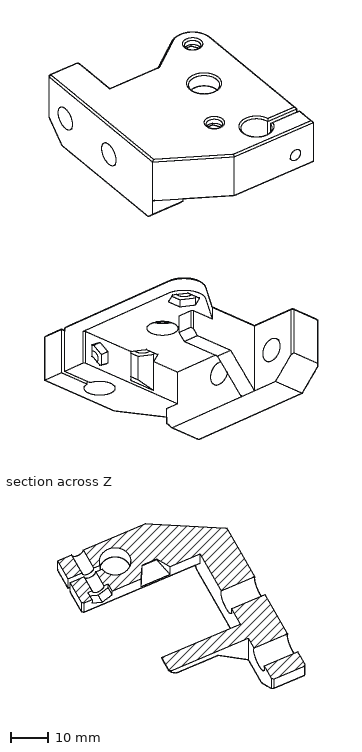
import cadquery as cq
import math

LENGTH = 59.0
DEPTH = 45.5
HEIGHT = 20.0
EDGE_BREAK = 0.55

PLATE_THICKNESS = 4.0
PLATE_BOTTOM = HEIGHT - PLATE_THICKNESS
WALL_X = 14.5
EAR_RADIUS = 5.9
EAR_X = 11.75
EAR_Y = DEPTH - EAR_RADIUS
EAR_ROOT_Y = 26.1
SLANT_END_Y = 19.1

FLANGE_DEPTH = 10.15
FLANGE_LENGTH = 48.0
FLANGE_LEFT_CHAMFER = 6.5
FLANGE_RIGHT_CHAMFER = 2.0
FLANGE_HOLE_DIAMETER = 6.6
FLANGE_HOLE_Z = HEIGHT / 2
FLANGE_HOLE_XS = (8.0, 27.95)

RIB_THICKNESS = 5.0
RIB_BOTTOM = 9.0
RIB_END_Y = 33.75
RIB_CORNER = 2.0

CLAMP_X = 43.9
CLAMP_BOTTOM = 6.5
SLOT_WIDTH = 1.2
CLAMP_SCREW_DIAMETER = 3.4
CLAMP_SCREW_Y = 39.5
CLAMP_SCREW_Z = 11.2
CLAMP_NUT_FLATS = 5.95
CLAMP_NUT_DEPTH = 2.5

BORE_DIAMETER = 8.4
BORE_Y = 31.6
BORE_XS = (27.95, 52.0)
SCREW_DIAMETER = 4.4
NUT_SCREW_Y = 23.5
NUT_FLATS = 7.5
NUT_ROOF_Z = HEIGHT - 1.9
NUT_FLOOR_Z = 7.3


def box(x0, x1, y0, y1, z0, z1):
    return cq.Workplane("XY").box(x1 - x0, y1 - y0, z1 - z0, centered=False).translate((x0, y0, z0))


def across_corners(flats):
    return flats / math.cos(math.pi / 6)


def top_outline():
    """Plate outline; the ear arc is tangent to the line from the ear root."""
    root_dx = WALL_X - EAR_X
    root_dy = EAR_ROOT_Y - EAR_Y
    root_angle = math.atan2(root_dy, root_dx)
    tangent_angle = root_angle - math.acos(EAR_RADIUS / math.hypot(root_dx, root_dy))
    middle_angle = (tangent_angle - 3 * math.pi / 2) / 2

    def ear_point(angle):
        return (EAR_X + EAR_RADIUS * math.cos(angle), EAR_Y + EAR_RADIUS * math.sin(angle))

    return (
        cq.Workplane("XY")
        .moveTo(0, 0)
        .lineTo(FLANGE_LENGTH, 0)
        .lineTo(LENGTH, SLANT_END_Y)
        .lineTo(LENGTH, DEPTH)
        .lineTo(EAR_X, DEPTH)
        .threePointArc(ear_point(middle_angle), ear_point(tangent_angle))
        .lineTo(WALL_X, EAR_ROOT_Y)
        .lineTo(WALL_X, FLANGE_DEPTH)
        .lineTo(0, FLANGE_DEPTH)
        .close()
    )


def top_plate():
    return top_outline().extrude(PLATE_THICKNESS).translate((0, 0, PLATE_BOTTOM))


def clamp_block():
    """Thick right end of the plate, following the plate outline."""
    full = top_outline().extrude(HEIGHT - CLAMP_BOTTOM).translate((0, 0, CLAMP_BOTTOM))
    block = full.intersect(box(CLAMP_X, LENGTH, 0, DEPTH, CLAMP_BOTTOM, HEIGHT))
    return block.edges("|Z and <X and >Y").chamfer(EDGE_BREAK)


def front_flange():
    flange = box(0, FLANGE_LENGTH, 0, FLANGE_DEPTH, 0, HEIGHT)
    flange = flange.edges("<X and |Z").chamfer(EDGE_BREAK)
    left_corner = (
        cq.Workplane("XZ")
        .polyline([(0, 0), (FLANGE_LEFT_CHAMFER, 0), (0, FLANGE_LEFT_CHAMFER)])
        .close()
        .extrude(-FLANGE_DEPTH)
    )
    return flange.cut(left_corner).edges(">X and <Z").chamfer(FLANGE_RIGHT_CHAMFER)


def side_rib():
    """Gusset running back from the flange under the left edge of the plate."""
    rib = (
        cq.Workplane("YZ")
        .moveTo(0, HEIGHT)
        .lineTo(0, 0)
        .lineTo(FLANGE_DEPTH, 0)
        .lineTo(FLANGE_DEPTH + RIB_BOTTOM, RIB_BOTTOM)
        .lineTo(RIB_END_Y - RIB_CORNER, RIB_BOTTOM)
        .lineTo(RIB_END_Y, RIB_BOTTOM + RIB_CORNER)
        .lineTo(RIB_END_Y, HEIGHT)
        .close()
        .extrude(RIB_THICKNESS)
        .translate((WALL_X, 0, 0))
    )
    return rib.edges("|Z and >Y and <X").chamfer(EDGE_BREAK)


def vertical_holes(centers, diameter):
    return cq.Workplane("XY").pushPoints(centers).circle(diameter / 2).extrude(HEIGHT)


def flange_holes():
    centers = [(x, FLANGE_HOLE_Z) for x in FLANGE_HOLE_XS]
    return cq.Workplane("XZ").pushPoints(centers).circle(FLANGE_HOLE_DIAMETER / 2).extrude(-DEPTH)


def clamp_slot():
    slot_left = BORE_XS[1] - SLOT_WIDTH / 2
    return box(slot_left, slot_left + SLOT_WIDTH, BORE_Y, DEPTH, 0, HEIGHT)


def clamp_screw():
    """Cross hole with a hexagonal nut pocket in the clamp's inner wall."""
    start = cq.Workplane("YZ", origin=(CLAMP_X, CLAMP_SCREW_Y, CLAMP_SCREW_Z))
    hole = start.circle(CLAMP_SCREW_DIAMETER / 2).extrude(LENGTH - CLAMP_X)
    pocket = (
        start.transformed(rotate=(0, 0, 90))
        .polygon(6, across_corners(CLAMP_NUT_FLATS))
        .extrude(CLAMP_NUT_DEPTH)
    )
    return hole.union(pocket)


def hex_pocket(x, y, bottom):
    """Upright hexagonal nut pocket with two flats facing along X."""
    return (
        cq.Workplane("XY", origin=(x, y, bottom))
        .transformed(rotate=(0, 0, 90))
        .polygon(6, across_corners(NUT_FLATS))
        .extrude(NUT_ROOF_Z - bottom)
    )


def clamp_side_nut_pocket():
    """Pocket half inside the clamp's inner wall, with a floor rising at 45 degrees."""
    reach = NUT_FLATS / 2
    above_floor = (
        cq.Workplane("XZ")
        .moveTo(CLAMP_X - reach, NUT_FLOOR_Z)
        .lineTo(CLAMP_X, NUT_FLOOR_Z)
        .lineTo(CLAMP_X + reach, NUT_FLOOR_Z + reach)
        .lineTo(CLAMP_X + reach, NUT_ROOF_Z)
        .lineTo(CLAMP_X - reach, NUT_ROOF_Z)
        .close()
        .extrude(-DEPTH)
    )
    return hex_pocket(CLAMP_X, NUT_SCREW_Y, NUT_FLOOR_Z).intersect(above_floor)


plate = top_plate().edges("|Z and <X").chamfer(EDGE_BREAK)
body = plate.union(clamp_block()).union(front_flange()).union(side_rib())
body = body.cut(vertical_holes([(x, BORE_Y) for x in BORE_XS], BORE_DIAMETER)).cut(clamp_slot())
body = body.cut(vertical_holes([(EAR_X, EAR_Y)], SCREW_DIAMETER))
body = body.cut(hex_pocket(EAR_X, EAR_Y, PLATE_BOTTOM))
clamp_side_hole = vertical_holes([(CLAMP_X, NUT_SCREW_Y)], SCREW_DIAMETER).translate((0, 0, NUT_ROOF_Z))
body = body.cut(clamp_side_hole).cut(clamp_side_nut_pocket())
body = body.cut(flange_holes()).cut(clamp_screw())

result = body.faces(">Z").edges().chamfer(EDGE_BREAK)